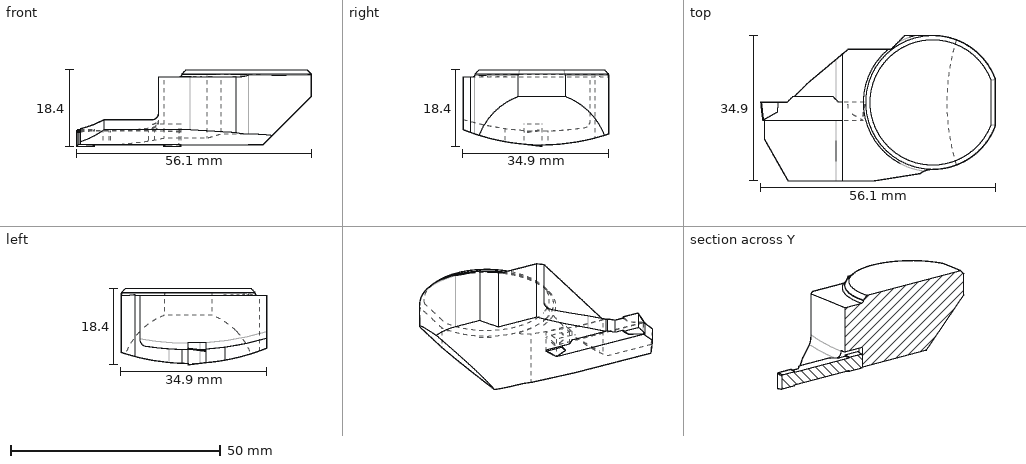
import cadquery as cq
import math

length = 56.1
top_z = 18.35
shoulder_z = 16.65
wall_x = 19.5
blade_front_x = 0.9
wall_fillet = 1.5

disk_y = 18.8
disk_radius = 16.05
flat_half_width = 5.65
disk_x = length - math.sqrt(disk_radius**2 - flat_half_width**2)
disk_top_y = disk_y + disk_radius
boss_radius = 16.0
boss_chamfer = 1.0
boss_fillet = 0.55

underside_radius = 50.05
underside_low_z = 0.365
blade_top_radius = 66.2
blade_top_low_z = 3.7
end_slope_z = 11.95

blade_corner_y = 10.0
front_corner_x = 6.55
front_taper_x = 27.1
web_x, web_y = 38.05, 1.75
back_y = 31.55
back_corner_x = 20.9
back_step_x = 31.2
back_kink_x, back_kink_y = 11.3, 23.45

insert_length = 24.95
insert_y0 = 14.55
neck_y1 = 18.85
middle_y1 = 20.25
neck_length = 6.35
tip_kink_x, tip_kink_y = 0.3, 16.05
tip_corner_x = 0.5
insert_top_z = blade_top_low_z
tip_length = 4.2
tip_back_x, tip_back_y = 4.0, 16.5
tip_height = 4.05
tip_fall = 0.55
tip_chamfer = 0.2
pocket_top_z = 5.4
reach = 168.3


def cylinder_along_x(radius, low_z):
    """Long cylinder centred under the round end, with its lowest line at low_z."""
    return cq.Workplane("YZ").center(disk_y, low_z + radius).circle(radius).extrude(reach, both=True)


def holder_block():
    """Outline of the block, blade and round end, raised to the shoulder."""
    rise = disk_y - disk_radius - web_y
    run = disk_x - web_x
    web_radius = (run**2 + rise**2) / (2 * rise)
    half_turn = math.atan2(rise, run)
    web_mid_x = disk_x - web_radius * math.sin(half_turn)
    web_mid_y = web_y + rise - web_radius * (1 - math.cos(half_turn))
    step_top_x = back_step_x + disk_top_y - back_y
    slope_end_x = back_kink_x - (back_kink_y - middle_y1)
    arc_offset = disk_radius * math.sqrt(0.5)
    return (
        cq.Workplane("XY")
        .moveTo(front_corner_x, 0)
        .lineTo(front_taper_x, 0)
        .lineTo(web_x, web_y)
        .threePointArc((web_mid_x, web_mid_y), (disk_x, disk_y - disk_radius))
        .threePointArc((disk_x + arc_offset, disk_y - arc_offset), (length, disk_y - flat_half_width))
        .lineTo(length, disk_y + flat_half_width)
        .threePointArc((disk_x + arc_offset, disk_y + arc_offset), (disk_x, disk_top_y))
        .lineTo(step_top_x, disk_top_y)
        .lineTo(back_step_x, back_y)
        .lineTo(back_corner_x, back_y)
        .lineTo(back_kink_x, back_kink_y)
        .lineTo(slope_end_x, middle_y1)
        .lineTo(slope_end_x, insert_y0)
        .lineTo(blade_front_x, insert_y0)
        .lineTo(blade_front_x, blade_corner_y)
        .close()
        .extrude(top_z)
    )


def boss_envelope():
    """Everything up to the shoulder, plus the boss with its flared foot and chamfered rim."""
    slab = cq.Workplane("XY").box(reach, reach, shoulder_z, centered=(True, True, False))
    rim_radius = boss_radius - boss_chamfer
    foot_radius = boss_radius + boss_fillet
    flare = boss_fillet * (1 - math.sqrt(0.5))
    boss = (
        cq.Workplane("XZ")
        .moveTo(0, 0)
        .lineTo(foot_radius, 0)
        .lineTo(foot_radius, shoulder_z)
        .threePointArc((boss_radius + flare, shoulder_z + flare), (boss_radius, shoulder_z + boss_fillet))
        .lineTo(boss_radius, top_z - boss_chamfer)
        .lineTo(rim_radius, top_z)
        .lineTo(0, top_z)
        .close()
        .revolve(360, (0, 0), (0, 1))
        .translate((disk_x, disk_y, 0))
    )
    return slab.union(boss)


def blade_clearance():
    """Space above the blade, with a rounded corner against the wall."""
    space = cq.Workplane("XY").box(reach, reach, reach).translate((wall_x - reach / 2, disk_y, 0))
    space = space.intersect(cylinder_along_x(blade_top_radius, blade_top_low_z))
    lower_edge = cq.selectors.NearestToPointSelector((wall_x, disk_y, blade_top_low_z))
    return space.faces(">X").edges(lower_edge).fillet(wall_fillet)


def end_cuts():
    """45 degree slope under the flat end and chamfer over it."""
    slope = (
        cq.Workplane("XZ")
        .polyline([(length, end_slope_z), (length, 0), (length - end_slope_z, 0)])
        .close()
        .extrude(reach, both=True)
    )
    chamfer = (
        cq.Workplane("XZ")
        .polyline([(length, top_z), (length, top_z - boss_chamfer), (length - boss_chamfer, top_z)])
        .close()
        .extrude(reach, both=True)
    )
    return slope.union(chamfer)


def insert_outline(height):
    """Insert plan shape, the same at both ends, with a wider middle."""
    shoulder_x = neck_length + middle_y1 - neck_y1
    half = [
        (tip_corner_x, insert_y0),
        (tip_kink_x, tip_kink_y),
        (0, neck_y1),
        (neck_length, neck_y1),
        (shoulder_x, middle_y1),
    ]
    other_half = [(insert_length - x, y) for x, y in reversed(half)]
    return cq.Workplane("XY").polyline(half + other_half).close().extrude(height)


def tip_plan(height):
    """Plan shape of one cutting tip."""
    points = [
        (tip_corner_x, insert_y0),
        (tip_kink_x, tip_kink_y),
        (0, neck_y1),
        (tip_length, neck_y1),
        (tip_back_x, tip_back_y),
    ]
    return cq.Workplane("XY").polyline(points).close().extrude(height)


def cutting_tip():
    """Sloping tip, higher and deeper than the insert on its +Y side, with a blunted front edge."""
    sloped_band = (
        cq.Workplane("YZ")
        .polyline([
            (neck_y1, 0),
            (neck_y1, tip_height),
            (insert_y0, tip_height - tip_fall),
            (insert_y0, tip_fall),
        ])
        .close()
        .extrude(tip_length)
    )
    margin = tip_fall
    front_edge = cq.selectors.BoxSelector(
        (-margin, insert_y0 - margin, tip_height - tip_fall - margin),
        (tip_corner_x, neck_y1 - margin, tip_height + margin),
    )
    return tip_plan(tip_height).intersect(sloped_band).edges(front_edge).chamfer(tip_chamfer)


def mirror_end(shape):
    """Copy of an insert feature at the other end."""
    return shape.mirror("YZ").translate((insert_length, 0, 0))


def make_holder():
    holder = holder_block().intersect(boss_envelope())
    holder = holder.intersect(cylinder_along_x(underside_radius, underside_low_z))
    holder = holder.cut(blade_clearance()).cut(end_cuts())
    return holder.cut(insert_outline(pocket_top_z))


def make_insert():
    insert = insert_outline(insert_top_z).intersect(cylinder_along_x(underside_radius, underside_low_z))
    tip_space = tip_plan(tip_height)
    tip = cutting_tip()
    for space, end_tip in [(tip_space, tip), (mirror_end(tip_space), mirror_end(tip))]:
        insert = insert.cut(space).union(end_tip)
    return insert


holder = make_holder()
insert = make_insert()
result = cq.Compound.makeCompound([*holder.solids().vals(), *insert.solids().vals()])